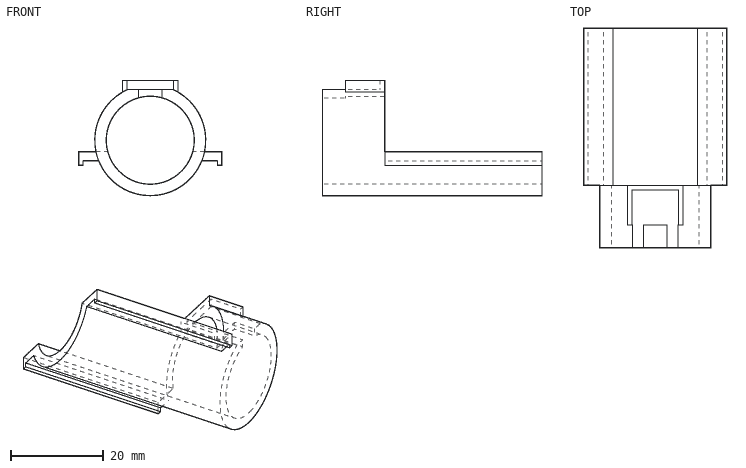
import cadquery as cq
import math

length = 47.5
bore_radius = 9.5
outer_radius = 12.0
collar_length = 13.5

flat_height = 10.95
frame_top = 12.95
frame_width = 12.0
frame_front = 5.0
frame_wall = 1.0
notch_width = 5.0

wing_span = 31.0
wing_top = -2.45
wing_thickness = 2.0
lip_drop = 1.0
lip_width = 1.0


def block(x_range, y_range, z_range):
    """Axis-aligned box given by its limits along X, Y and Z."""
    (x0, x1), (y0, y1), (z0, z1) = x_range, y_range, z_range
    return cq.Workplane("XY").box(x1 - x0, y1 - y0, z1 - z0, centered=False).translate((x0, y0, z0))


def centered_block(width, y_range, z_range):
    """Box centered across the tube axis."""
    return block((-width / 2, width / 2), y_range, z_range)


def rod(radius):
    """Solid cylinder along the whole tube axis."""
    return cq.Workplane("XZ").circle(radius).extrude(-length)


def wings():
    """Full-width plate whose outer edges turn down into lips."""
    y_range = (collar_length, length)
    wing_bottom = wing_top - wing_thickness
    plate = centered_block(wing_span, y_range, (wing_bottom - lip_drop, wing_top))
    relief = centered_block(wing_span - 2 * lip_width, y_range, (wing_bottom - lip_drop, wing_bottom))
    return plate.cut(relief)


def frame():
    """Raised block with a recess open to the front and floored at the flat."""
    frame_bottom = math.sqrt(outer_radius**2 - (frame_width / 2) ** 2)
    body = centered_block(frame_width, (frame_front, collar_length), (frame_bottom, frame_top))
    recess = centered_block(
        frame_width - 2 * frame_wall,
        (frame_front, collar_length - frame_wall),
        (flat_height, frame_top),
    )
    return body.cut(recess)


tube = rod(outer_radius)
tube = tube.cut(centered_block(2 * outer_radius, (0, length), (flat_height, outer_radius)))
tube = tube.cut(centered_block(2 * outer_radius, (collar_length, length), (wing_top, outer_radius)))

notch = centered_block(notch_width, (0, frame_front), (0, flat_height))
result = tube.union(wings()).union(frame()).cut(rod(bore_radius)).cut(notch)